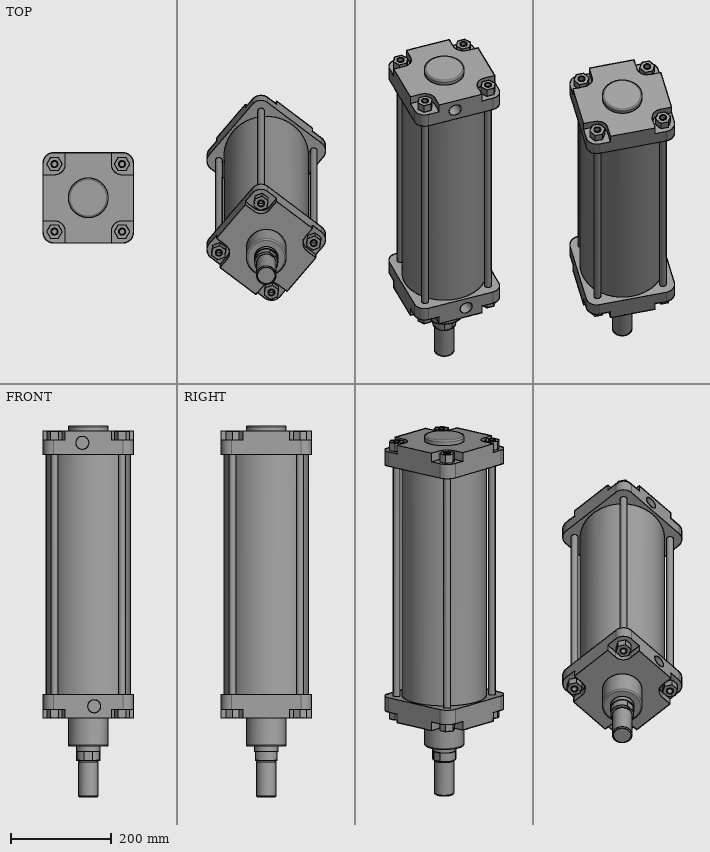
import cadquery as cq
import math


HEAD_WIDTH = 180.0
HEAD_HEIGHT = 47.0
BOLT_OFFSET = 67.0
CORNER_RADIUS = 21.5
POCKET_RADIUS = 21.5
POCKET_DEPTH = 18.0
PORT_DIAMETER = 26.0
PORT_DEPTH = 44.0
PORT_OFFSET = 12.0
BOSS_DIAMETER = 79.0
BOSS_HEIGHT = 10.0
GLAND_LENGTH = 55.0
BOSS_FILLET = 3.0

BARREL_DIAMETER = 168.0
BARREL_LENGTH = 476.0

TIE_ROD_DIAMETER = 14.0
NUT_ACROSS_FLATS = 26.5
NUT_HEIGHT = 17.0
NUT_ACROSS_CORNERS = NUT_ACROSS_FLATS / math.cos(math.pi / 6)
SOCKET_DIAMETER = 11.0
SOCKET_DEPTH = 15.0

COLLAR_DIAMETER = 47.0
FLATS_DIAMETER = 46.0
COLLAR_LENGTH = 29.0
FLATS_WIDTH = 43.0
FLATS_LENGTH = 18.0
STUD_DIAMETER = 39.0
STUD_LENGTH = 72.0
STUD_TOP_CHAMFER = 3.0
STUD_TIP_CHAMFER = 2.0

GLAND_BOTTOM = STUD_LENGTH + COLLAR_LENGTH
FRONT_HEAD_BOTTOM = GLAND_BOTTOM + GLAND_LENGTH
BARREL_BOTTOM = FRONT_HEAD_BOTTOM + HEAD_HEIGHT
REAR_HEAD_BOTTOM = BARREL_BOTTOM + BARREL_LENGTH
REAR_HEAD_TOP = REAR_HEAD_BOTTOM + HEAD_HEIGHT

BOLT_POINTS = [(x * BOLT_OFFSET, y * BOLT_OFFSET) for x in (-1, 1) for y in (-1, 1)]


def cylinder(diameter, bottom, length):
    return cq.Workplane("XY").workplane(offset=bottom).circle(diameter / 2).extrude(length)


def box(x_size, y_size, bottom, height):
    return cq.Workplane("XY").workplane(offset=bottom).rect(x_size, y_size).extrude(height)


def nut_pockets(bottom):
    """Four open corner pockets, each with a rounded inner corner about its tie-rod axis."""
    cross_width = 2 * (BOLT_OFFSET - POCKET_RADIUS)
    pockets = (
        box(HEAD_WIDTH, HEAD_WIDTH, bottom, POCKET_DEPTH)
        .cut(box(HEAD_WIDTH, cross_width, bottom, POCKET_DEPTH))
        .cut(box(cross_width, HEAD_WIDTH, bottom, POCKET_DEPTH))
    )
    inner_corners = cq.selectors.BoxSelector(
        (-BOLT_OFFSET, -BOLT_OFFSET, bottom),
        (BOLT_OFFSET, BOLT_OFFSET, bottom + POCKET_DEPTH),
    )
    return pockets.edges("|Z").edges(inner_corners).fillet(POCKET_RADIUS)


def head_block(bottom, pocket_bottom, port_x):
    """Square head with corner nut pockets, tie-rod holes and a blind port in its -Y side."""
    block = box(HEAD_WIDTH, HEAD_WIDTH, bottom, HEAD_HEIGHT).edges("|Z").fillet(CORNER_RADIUS)
    tie_rod_holes = (
        cq.Workplane("XY").workplane(offset=bottom)
        .pushPoints(BOLT_POINTS).circle(TIE_ROD_DIAMETER / 2).extrude(HEAD_HEIGHT)
    )
    port = (
        cq.Workplane("XZ", origin=(port_x, -HEAD_WIDTH / 2, bottom + HEAD_HEIGHT / 2))
        .circle(PORT_DIAMETER / 2).extrude(-PORT_DEPTH)
    )
    return block.cut(nut_pockets(pocket_bottom)).cut(tie_rod_holes).cut(port)


def front_head():
    """Rod-end head with the gland that guides the piston rod."""
    gland = cylinder(BOSS_DIAMETER, GLAND_BOTTOM, GLAND_LENGTH).faces("<Z").fillet(BOSS_FILLET)
    return head_block(FRONT_HEAD_BOTTOM, FRONT_HEAD_BOTTOM, PORT_OFFSET).union(gland)


def rear_head():
    boss = cylinder(BOSS_DIAMETER, REAR_HEAD_TOP, BOSS_HEIGHT).faces(">Z").fillet(BOSS_FILLET)
    return head_block(REAR_HEAD_BOTTOM, REAR_HEAD_TOP - POCKET_DEPTH, -PORT_OFFSET).union(boss)


def tie_rod(x, y):
    """Rod through both heads with a hexagon nut and a blind socket at each end."""
    rod = cylinder(TIE_ROD_DIAMETER, FRONT_HEAD_BOTTOM, REAR_HEAD_TOP - FRONT_HEAD_BOTTOM)
    front_nut_bottom = FRONT_HEAD_BOTTOM + POCKET_DEPTH - NUT_HEIGHT
    rear_nut_bottom = REAR_HEAD_TOP - POCKET_DEPTH
    for bottom in (front_nut_bottom, rear_nut_bottom):
        nut = (
            cq.Workplane("XY").workplane(offset=bottom)
            .polygon(6, NUT_ACROSS_CORNERS).extrude(NUT_HEIGHT)
        )
        rod = rod.union(nut)
    for bottom in (FRONT_HEAD_BOTTOM, REAR_HEAD_TOP - SOCKET_DEPTH):
        rod = rod.cut(cylinder(SOCKET_DIAMETER, bottom, SOCKET_DEPTH))
    return rod.translate((x, y, 0))


def piston_rod():
    """Chamfered stud below a collar that carries two wrench flats."""
    stud = (
        cylinder(STUD_DIAMETER, 0, STUD_LENGTH)
        .faces(">Z").chamfer(STUD_TOP_CHAMFER)
        .faces("<Z").chamfer(STUD_TIP_CHAMFER)
    )
    upper_collar = cylinder(COLLAR_DIAMETER, STUD_LENGTH + FLATS_LENGTH, COLLAR_LENGTH - FLATS_LENGTH)
    flats_envelope = box(FLATS_DIAMETER, FLATS_WIDTH, STUD_LENGTH, FLATS_LENGTH)
    lower_collar = cylinder(FLATS_DIAMETER, STUD_LENGTH, FLATS_LENGTH).intersect(flats_envelope)
    return stud.union(lower_collar).union(upper_collar)


barrel = cylinder(BARREL_DIAMETER, BARREL_BOTTOM, BARREL_LENGTH)
tie_rods = [tie_rod(x, y) for x, y in BOLT_POINTS]

result = cq.Compound.makeCompound([
    front_head().val(),
    rear_head().val(),
    barrel.val(),
    *[rod.val() for rod in tie_rods],
    piston_rod().val(),
])